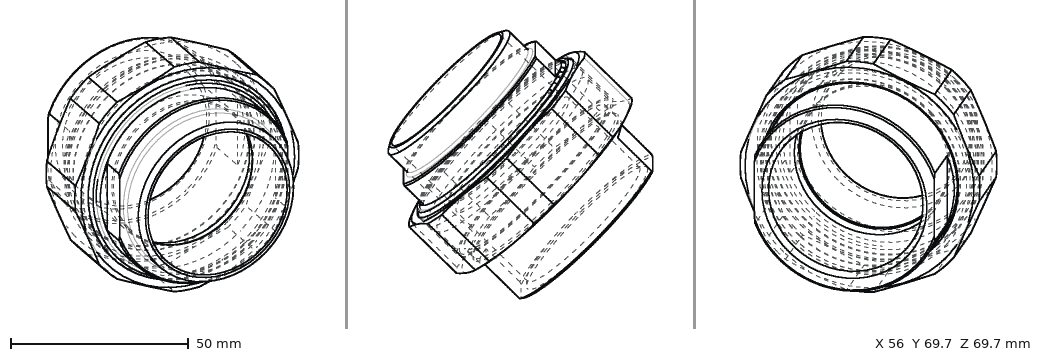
import cadquery as cq
import math

TOTAL_LENGTH = 56.0
PIPE_OD = 56.15

NUT_START = 16.5
NUT_LENGTH = 20.0
NUT_END = NUT_START + NUT_LENGTH
NUT_CORNER_D = 69.7
NUT_ACROSS_FLATS = 66.95
NUT_SIDES = 8
NUT_FACE_D = 66.5
NUT_CHAMFER_LENGTH = 0.55
NUT_LIP_BORE_D = 56.5
NUT_LIP_CHAMFER = 0.55
NUT_LIP_THICKNESS = 4.2
NUT_THREAD_D = 61.9
LIP_END = NUT_START + NUT_LIP_THICKNESS

SOCKET_LENGTH = 29.75
SOCKET_BORE_D = 44.9
SOCKET_MOUTH_D = 47.95
SOCKET_MOUTH_DEPTH = 1.5
SOCKET_RIM_CHAMFER = 0.55
FLANGE_D = 60.0

TAIL_START = 32.9
TAIL_BORE_D = 43.3
TAIL_BORE_CHAMFER = 0.35
COLLAR_END = 37.55
COLLAR_FACE_D = 60.0
COLLAR_CHAMFER_LENGTH = 1.6
SHOULDER_X = 46.9
SHOULDER_CHAMFER = 0.5
SPIGOT_D = 48.3
SPIGOT_END_D = 44.9
SPIGOT_CHAMFER_LENGTH = 1.05
ROOT_FILLET = 0.9

FLAT_DISTANCE = 26.1
SOCKET_FLAT_END = 14.0
TAIL_FLAT_START = 38.95
FLAT_WALL_ANGLE = 15.0


def turn(profile):
    """Revolve a closed (x, radius) profile around the X axis."""
    return profile.close().revolve(360, (0, 0, 0), (1, 0, 0))


def cut_flats(body, wall_x, open_x):
    """Cut a pair of flats from a leaning wall at wall_x out to the plane open_x."""
    outer_y = NUT_CORNER_D / 2
    lean = (outer_y - FLAT_DISTANCE) * math.tan(math.radians(FLAT_WALL_ANGLE))
    outer_wall_x = wall_x + math.copysign(lean, wall_x - open_x)
    for side in (-1, 1):
        cutter = (
            cq.Workplane("XY")
            .moveTo(open_x, side * FLAT_DISTANCE)
            .lineTo(wall_x, side * FLAT_DISTANCE)
            .lineTo(outer_wall_x, side * outer_y)
            .lineTo(open_x, side * outer_y)
            .close()
            .extrude(PIPE_OD / 2, both=True)
        )
        body = body.cut(cutter)
    return body


def make_nut():
    across_corners = NUT_ACROSS_FLATS / math.cos(math.pi / NUT_SIDES)
    octagon = (
        cq.Workplane("YZ", origin=(NUT_START, 0, 0))
        .polygon(NUT_SIDES, across_corners)
        .extrude(NUT_LENGTH)
    )
    envelope = turn(
        cq.Workplane("XY")
        .moveTo(NUT_START, NUT_LIP_BORE_D / 2 + NUT_LIP_CHAMFER)
        .lineTo(NUT_START, NUT_FACE_D / 2)
        .lineTo(NUT_START + NUT_CHAMFER_LENGTH, NUT_CORNER_D / 2)
        .lineTo(NUT_END - NUT_CHAMFER_LENGTH, NUT_CORNER_D / 2)
        .lineTo(NUT_END, NUT_FACE_D / 2)
        .lineTo(NUT_END, NUT_THREAD_D / 2)
        .lineTo(LIP_END, NUT_THREAD_D / 2)
        .lineTo(LIP_END, NUT_LIP_BORE_D / 2)
        .lineTo(NUT_START + NUT_LIP_CHAMFER, NUT_LIP_BORE_D / 2)
    )
    return octagon.intersect(envelope)


def make_socket():
    body = turn(
        cq.Workplane("XY")
        .moveTo(0, SOCKET_MOUTH_D / 2)
        .lineTo(0, PIPE_OD / 2 - SOCKET_RIM_CHAMFER)
        .lineTo(SOCKET_RIM_CHAMFER, PIPE_OD / 2)
        .lineTo(LIP_END, PIPE_OD / 2)
        .lineTo(LIP_END, FLANGE_D / 2)
        .lineTo(SOCKET_LENGTH, FLANGE_D / 2)
        .lineTo(SOCKET_LENGTH, SOCKET_BORE_D / 2)
        .lineTo(SOCKET_MOUTH_DEPTH, SOCKET_BORE_D / 2)
    )
    return cut_flats(body, SOCKET_FLAT_END, 0)


def make_tailpiece():
    body = turn(
        cq.Workplane("XY")
        .moveTo(TAIL_START, 0)
        .lineTo(TAIL_START, NUT_THREAD_D / 2)
        .lineTo(COLLAR_END - COLLAR_CHAMFER_LENGTH, NUT_THREAD_D / 2)
        .lineTo(COLLAR_END, COLLAR_FACE_D / 2)
        .lineTo(COLLAR_END, PIPE_OD / 2 + ROOT_FILLET)
        .radiusArc((COLLAR_END + ROOT_FILLET, PIPE_OD / 2), -ROOT_FILLET)
        .lineTo(SHOULDER_X - SHOULDER_CHAMFER, PIPE_OD / 2)
        .lineTo(SHOULDER_X, PIPE_OD / 2 - SHOULDER_CHAMFER)
        .lineTo(SHOULDER_X, 0)
    )
    body = cut_flats(body, TAIL_FLAT_START, SHOULDER_X)

    spigot = turn(
        cq.Workplane("XY")
        .moveTo(SHOULDER_X, 0)
        .lineTo(SHOULDER_X, SPIGOT_D / 2 + ROOT_FILLET)
        .radiusArc((SHOULDER_X + ROOT_FILLET, SPIGOT_D / 2), -ROOT_FILLET)
        .lineTo(TOTAL_LENGTH - SPIGOT_CHAMFER_LENGTH, SPIGOT_D / 2)
        .lineTo(TOTAL_LENGTH, SPIGOT_END_D / 2)
        .lineTo(TOTAL_LENGTH, 0)
    )

    bore = turn(
        cq.Workplane("XY")
        .moveTo(TAIL_START, 0)
        .lineTo(TAIL_START, TAIL_BORE_D / 2 + TAIL_BORE_CHAMFER)
        .lineTo(TAIL_START + TAIL_BORE_CHAMFER, TAIL_BORE_D / 2)
        .lineTo(TOTAL_LENGTH, TAIL_BORE_D / 2)
        .lineTo(TOTAL_LENGTH, 0)
    )
    return body.union(spigot).cut(bore)


nut = make_nut()
socket = make_socket()
tailpiece = make_tailpiece()

result = cq.Compound.makeCompound([nut.val(), socket.val(), tailpiece.val()])